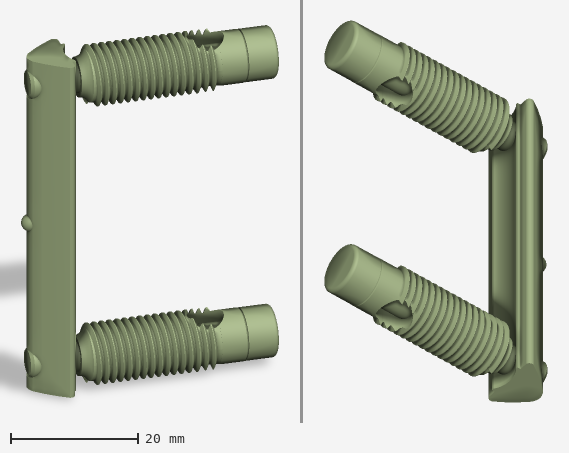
import cadquery as cq
import math


BAR_LENGTH = 58.0
BAR_WIDTH = 10.6
BAR_BACK = 6.5
BACK_CORNER_RADIUS = 0.7
BACK_CORNER_LAND = 0.25
NOSE_HALF_WIDTH = 1.4
NOSE_DEPTH = 0.51
NOSE_BULGE = 0.08
SIDE_BULGE = 0.2
SEAT_RADIUS = 5.0
SEAT_BOTTOM_Y = 6.15
RIB_OUTER_HALF_WIDTH = 3.25
RIB_TOP_WIDTH = 0.35

BUTTON_RADIUS = 1.4
BUTTON_REACH = 0.89

ANCHOR_SPACING = 49.0
ANCHOR_HEIGHTS = (-ANCHOR_SPACING / 2, ANCHOR_SPACING / 2)
SHANK_DIAMETER = 5.0
SHANK_TIP_DIAMETER = 4.13
SHANK_TIP_CHAMFER = 0.5
SHANK_TIP_Y = 0.1
HEAD_DIAMETER = 8.5
HEAD_LENGTH = 5.0
HEAD_END_Y = 40.2
HEAD_FILLET = 0.6

SLEEVE_DIAMETER = 8.5
COLLAR_DIAMETER = 8.56
COLLAR_FRONT_Y = 30.8
COLLAR_CHAMFER = 0.3
SLEEVE_FRONT_Y = 8.1
SLEEVE_FRONT_DIAMETER = 6.5
SLEEVE_FLARE_RADIUS = 1.9
CROSS_HOLE_DIAMETER = 5.9
CROSS_HOLE_Y = 29.2
THREAD_DIAMETER = 10.0
THREAD_PITCH = 1.25
THREAD_START_Y = 9.8
THREAD_END_Y = 30.3
THREAD_BASE_WIDTH = 1.0
THREAD_CREST_WIDTH = 0.12
THREAD_OVERLAP = 0.1
THREAD_PHASE = 90.0


def along_y(solid):
    """Turn a body built along Z so that it runs along Y."""
    return solid.rotate((0, 0, 0), (1, 0, 0), -90)


def bulged_middle(start, end, bulge):
    """Middle point of an arc that rises by `bulge` to the right of the line from start to end."""
    length = math.dist(start, end)
    return (
        (start[0] + end[0]) / 2 + bulge * (end[1] - start[1]) / length,
        (start[1] + end[1]) / 2 - bulge * (end[0] - start[0]) / length,
    )


def mirrored(point):
    return (-point[0], point[1])


def make_bar():
    half_width = BAR_WIDTH / 2
    nose_tip = (0, 0)
    nose_end = (NOSE_HALF_WIDTH, NOSE_DEPTH)
    corner_centre = (half_width - BACK_CORNER_RADIUS, BAR_BACK - BACK_CORNER_RADIUS)
    corner_start = (half_width, corner_centre[1])
    corner_middle = (
        corner_centre[0] + BACK_CORNER_RADIUS * math.sqrt(0.5),
        corner_centre[1] + BACK_CORNER_RADIUS * math.sqrt(0.5),
    )
    corner_end = (corner_centre[0], BAR_BACK)
    side_end = (half_width, corner_start[1] - BACK_CORNER_LAND)

    nose_middle = bulged_middle(nose_tip, nose_end, NOSE_BULGE)
    side_middle = bulged_middle(nose_end, side_end, SIDE_BULGE)

    rib_inner = RIB_OUTER_HALF_WIDTH - RIB_TOP_WIDTH
    rib_top = SEAT_BOTTOM_Y + SEAT_RADIUS - math.sqrt(SEAT_RADIUS**2 - rib_inner**2)

    outline = (
        cq.Workplane("XY")
        .moveTo(*mirrored(nose_end))
        .threePointArc(mirrored(nose_middle), nose_tip)
        .threePointArc(nose_middle, nose_end)
        .threePointArc(side_middle, side_end)
        .lineTo(*corner_start)
        .threePointArc(corner_middle, corner_end)
        .lineTo(RIB_OUTER_HALF_WIDTH, BAR_BACK)
        .lineTo(RIB_OUTER_HALF_WIDTH, rib_top)
        .lineTo(rib_inner, rib_top)
        .threePointArc((0, SEAT_BOTTOM_Y), (-rib_inner, rib_top))
        .lineTo(-RIB_OUTER_HALF_WIDTH, rib_top)
        .lineTo(-RIB_OUTER_HALF_WIDTH, BAR_BACK)
        .lineTo(*mirrored(corner_end))
        .threePointArc(mirrored(corner_middle), mirrored(corner_start))
        .lineTo(*mirrored(side_end))
        .threePointArc(mirrored(side_middle), mirrored(nose_end))
        .close()
    )
    bar = outline.extrude(BAR_LENGTH / 2, both=True)
    shank_holes = (
        cq.Workplane("XZ")
        .pushPoints([(0, z) for z in ANCHOR_HEIGHTS])
        .circle(SHANK_DIAMETER / 2)
        .extrude(BAR_WIDTH, both=True)
    )
    return bar.cut(shank_holes).cut(make_button())


def make_button():
    return cq.Workplane("XY").sphere(BUTTON_RADIUS).translate((0, BUTTON_RADIUS - BUTTON_REACH, 0))


def make_bolt():
    """Round shank with a chamfered tip and a cylindrical head."""
    shank = (
        cq.Workplane("XY", origin=(0, 0, SHANK_TIP_Y))
        .circle(SHANK_DIAMETER / 2)
        .extrude(HEAD_END_Y - HEAD_LENGTH - SHANK_TIP_Y)
        .faces("<Z")
        .chamfer(SHANK_TIP_CHAMFER, (SHANK_DIAMETER - SHANK_TIP_DIAMETER) / 2)
    )
    head = (
        cq.Workplane("XY", origin=(0, 0, HEAD_END_Y - HEAD_LENGTH))
        .circle(HEAD_DIAMETER / 2)
        .extrude(HEAD_LENGTH)
        .faces(">Z")
        .edges()
        .fillet(HEAD_FILLET)
    )
    return along_y(shank.union(head))


def make_thread_ridge():
    root_radius = SLEEVE_DIAMETER / 2
    inner_radius = root_radius - THREAD_OVERLAP
    length = THREAD_END_Y - THREAD_START_Y
    helix = cq.Wire.makeHelix(THREAD_PITCH, length, root_radius)
    ridge = (
        cq.Workplane("XZ")
        .polyline(
            [
                (inner_radius, -THREAD_BASE_WIDTH / 2),
                (root_radius, -THREAD_BASE_WIDTH / 2),
                (THREAD_DIAMETER / 2, -THREAD_CREST_WIDTH / 2),
                (THREAD_DIAMETER / 2, THREAD_CREST_WIDTH / 2),
                (root_radius, THREAD_BASE_WIDTH / 2),
                (inner_radius, THREAD_BASE_WIDTH / 2),
            ]
        )
        .close()
        .sweep(cq.Workplane(helix), isFrenet=True)
    )
    return ridge.rotate((0, 0, 0), (0, 0, 1), THREAD_PHASE).translate((0, 0, THREAD_START_Y))


def make_sleeve():
    """Threaded tube with a flared front end and a cross hole."""
    radius = SLEEVE_DIAMETER / 2
    collar_radius = COLLAR_DIAMETER / 2
    bore_radius = SHANK_DIAMETER / 2
    front_radius = SLEEVE_FRONT_DIAMETER / 2
    back_y = HEAD_END_Y - HEAD_LENGTH
    flare_centre = front_radius + SLEEVE_FLARE_RADIUS
    flare_angle = math.acos((flare_centre - radius) / SLEEVE_FLARE_RADIUS)

    def flare_point(angle):
        return (
            flare_centre - SLEEVE_FLARE_RADIUS * math.cos(angle),
            SLEEVE_FRONT_Y + SLEEVE_FLARE_RADIUS * math.sin(angle),
        )

    tube = (
        cq.Workplane("XZ")
        .moveTo(bore_radius, SLEEVE_FRONT_Y)
        .lineTo(front_radius, SLEEVE_FRONT_Y)
        .threePointArc(flare_point(flare_angle / 2), flare_point(flare_angle))
        .lineTo(radius, COLLAR_FRONT_Y)
        .lineTo(collar_radius, COLLAR_FRONT_Y)
        .lineTo(collar_radius, back_y - COLLAR_CHAMFER)
        .lineTo(collar_radius - COLLAR_CHAMFER, back_y)
        .lineTo(bore_radius, back_y)
        .close()
        .revolve(360, (0, 0, 0), (0, 1, 0))
    )
    cross_hole = (
        cq.Workplane("XZ", origin=(0, 0, CROSS_HOLE_Y))
        .circle(CROSS_HOLE_DIAMETER / 2)
        .extrude(THREAD_DIAMETER, both=True)
    )
    return along_y(tube.union(make_thread_ridge()).cut(cross_hole))


bar = make_bar()
button = make_button()
bolt = make_bolt()
sleeve = make_sleeve()
bolts = [bolt.translate((0, 0, z)) for z in ANCHOR_HEIGHTS]
sleeves = [sleeve.translate((0, 0, z)) for z in ANCHOR_HEIGHTS]

result = cq.Compound.makeCompound(
    [bar.val(), button.val(), *[body.val() for body in bolts], *[body.val() for body in sleeves]]
)